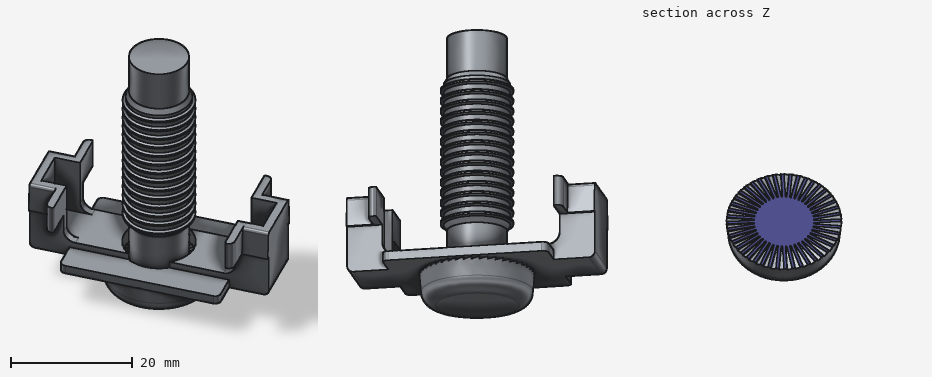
import cadquery as cq
import math

LENGTH = 41.6
WIDTH = 20.0
BRACKET_BOTTOM = 5.55
STRIP_TOP = 8.25
BRACKET_TOP = 18.32
STRIP_WIDTH = 9.8
LEG_DEPTH = 5.9
WALL = 1.5
LEG_OUTER_RADIUS = 1.0
LEG_INNER_RADIUS = 2.0
SCREW_HOLE_RADIUS = 6.05

WING_LENGTH = 27.75
WING_THICKNESS = 1.55
WING_CORNER_RADIUS = 1.0

FLANGE_BOTTOM = 13.3
FLANGE_THICKNESS = 1.4
FLANGE_OUTER_RADIUS = 1.0
FLANGE_INNER_RADIUS = 0.25
LEG_HEAD_BOTTOM_WIDTH = 10.9
LEG_HEAD_TOP_WIDTH = 10.15
LEG_HEAD_TOP_RADIUS = 0.5

SCREW_LENGTH = 45.8
SHANK_RADIUS = 4.95
CORE_RADIUS = 5.5
CORE_BOTTOM = 13.7
CORE_TOP = 37.85
CORE_CHAMFER_HEIGHT = 0.95
RIDGE_RADIUS = 6.0
RIDGE_BASE = 0.82
RIDGE_CREST = 0.3
RIDGE_COUNT = 14
FIRST_RIDGE = 14.05
LAST_RIDGE = 36.85

HEAD_TOP_RADIUS = 9.5
HEAD_WAIST_RADIUS = 9.2
HEAD_WAIST = 2.4
HEAD_FLAT_RADIUS = 6.85
TOOTH_COUNT = 44
TOOTH_DEPTH = 0.4
TOOTH_START_ANGLE = -2.0
TOOTH_GAP_OVERRUN = 0.45

HALF_LENGTH = LENGTH / 2
LEG_INNER_X = HALF_LENGTH - LEG_DEPTH
LEG_HEIGHT = BRACKET_TOP - BRACKET_BOTTOM
FLANGE_HEIGHT = BRACKET_TOP - FLANGE_BOTTOM
RIDGE_PITCH = (LAST_RIDGE - FIRST_RIDGE) / (RIDGE_COUNT - 1)
TOOTH_ANGLE = 360 / TOOTH_COUNT


def rounded_block(length, width, bottom, top, corner_radius):
    """Upright block with its two bottom end edges rounded."""
    block = cq.Workplane("XY", origin=(0, 0, bottom)).box(
        length, width, top - bottom, centered=(True, True, False)
    )
    return block.faces("<Z").edges("|Y").fillet(corner_radius)


def wings():
    plate = cq.Workplane("XY", origin=(0, 0, BRACKET_BOTTOM)).box(
        WING_LENGTH, WIDTH, WING_THICKNESS, centered=(True, True, False)
    )
    return plate.edges("|Z").fillet(WING_CORNER_RADIUS)


def flange(x_side):
    """Cross flange on the inner end of one leg, rounded at both ends."""
    middle_x = LEG_INNER_X + FLANGE_THICKNESS / 2
    outer_edges, inner_edges = (">X", "<X") if x_side > 0 else ("<X", ">X")
    bar = cq.Workplane("XY", origin=(x_side * middle_x, 0, FLANGE_BOTTOM)).box(
        FLANGE_THICKNESS, WIDTH, FLANGE_HEIGHT, centered=(True, True, False)
    )
    bar = bar.faces(outer_edges).edges("|Z").fillet(FLANGE_OUTER_RADIUS)
    return bar.faces(inner_edges).edges("|Z").fillet(FLANGE_INNER_RADIUS)


def leg_head(x_side):
    """Top of one leg, as a solid block: wider than the leg below, its sides taper inward upwards."""
    start_x = LEG_INNER_X if x_side > 0 else -HALF_LENGTH
    block = (
        cq.Workplane("YZ", origin=(start_x, 0, 0))
        .moveTo(-LEG_HEAD_BOTTOM_WIDTH / 2, FLANGE_BOTTOM)
        .lineTo(LEG_HEAD_BOTTOM_WIDTH / 2, FLANGE_BOTTOM)
        .lineTo(LEG_HEAD_TOP_WIDTH / 2, BRACKET_TOP)
        .lineTo(-LEG_HEAD_TOP_WIDTH / 2, BRACKET_TOP)
        .close()
        .extrude(LEG_DEPTH)
    )
    return block.faces(">Z").edges("|X").fillet(LEG_HEAD_TOP_RADIUS)


def make_bracket():
    gap = rounded_block(2 * LEG_INNER_X, WIDTH, STRIP_TOP, BRACKET_TOP, LEG_INNER_RADIUS)
    cavity = rounded_block(
        LENGTH - 2 * WALL, STRIP_WIDTH - 2 * WALL, STRIP_TOP, BRACKET_TOP, LEG_INNER_RADIUS
    )
    body = rounded_block(LENGTH, STRIP_WIDTH, BRACKET_BOTTOM, FLANGE_BOTTOM, LEG_OUTER_RADIUS)
    body = body.cut(gap).union(wings())
    for x_side in (-1, 1):
        body = body.union(leg_head(x_side)).union(flange(x_side))
    screw_hole = (
        cq.Workplane("XY", origin=(0, 0, BRACKET_BOTTOM))
        .circle(SCREW_HOLE_RADIUS)
        .extrude(LEG_HEIGHT)
    )
    return body.cut(cavity).cut(screw_hole)


def screw_blank():
    """Head, shank and ridged core, turned from one half outline."""
    outline = (
        cq.Workplane("XZ")
        .lineTo(HEAD_FLAT_RADIUS, 0)
        .tangentArcPoint((HEAD_WAIST_RADIUS, HEAD_WAIST), relative=False)
        .lineTo(HEAD_TOP_RADIUS, BRACKET_BOTTOM)
        .lineTo(SHANK_RADIUS, BRACKET_BOTTOM)
        .lineTo(SHANK_RADIUS, CORE_BOTTOM - CORE_CHAMFER_HEIGHT)
        .lineTo(CORE_RADIUS, CORE_BOTTOM)
    )
    for index in range(RIDGE_COUNT):
        middle = FIRST_RIDGE + index * RIDGE_PITCH
        if index > 0:
            outline = outline.lineTo(CORE_RADIUS, middle - RIDGE_BASE / 2)
        outline = (
            outline.lineTo(RIDGE_RADIUS, middle - RIDGE_CREST / 2)
            .lineTo(RIDGE_RADIUS, middle + RIDGE_CREST / 2)
            .lineTo(CORE_RADIUS, middle + RIDGE_BASE / 2)
        )
    outline = (
        outline.lineTo(CORE_RADIUS, CORE_TOP)
        .lineTo(SHANK_RADIUS, CORE_TOP + CORE_CHAMFER_HEIGHT)
        .lineTo(SHANK_RADIUS, SCREW_LENGTH)
        .lineTo(0, SCREW_LENGTH)
        .close()
    )
    return outline.revolve(360, (0, 0, 0), (0, 1, 0))


def tooth_gap(start_angle):
    """Wedge between two teeth: an upright wall, then a ramp up to the next tooth.

    Width and depth both grow in proportion to the distance from the screw axis.
    """
    wall_angle = math.radians(start_angle)
    tip_angle = wall_angle + math.radians(TOOTH_ANGLE)

    def section(radius):
        depth = TOOTH_DEPTH * radius / HEAD_TOP_RADIUS
        wall_x = radius * math.cos(wall_angle)
        wall_y = radius * math.sin(wall_angle)
        tip_x = radius * math.cos(tip_angle)
        tip_y = radius * math.sin(tip_angle)
        return cq.Wire.makePolygon(
            [
                cq.Vector(wall_x, wall_y, BRACKET_BOTTOM),
                cq.Vector(wall_x, wall_y, BRACKET_BOTTOM - depth),
                cq.Vector(tip_x, tip_y, BRACKET_BOTTOM),
            ],
            close=True,
        )

    beyond_rim = HEAD_TOP_RADIUS + TOOTH_GAP_OVERRUN
    return cq.Solid.makeLoft([section(SHANK_RADIUS), section(beyond_rim)], True)


def make_screw():
    gaps = [
        tooth_gap(TOOTH_START_ANGLE + index * TOOTH_ANGLE)
        for index in range(TOOTH_COUNT)
    ]
    return screw_blank().cut(cq.Workplane(cq.Compound.makeCompound(gaps)))


bracket = make_bracket()
screw = make_screw()
result = cq.Compound.makeCompound([bracket.solids().val(), screw.solids().val()])